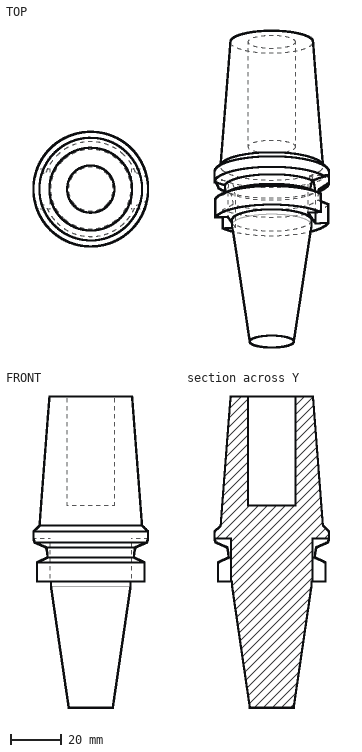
import cadquery as cq

total_height = 124.6
gauge_height = 48.5
flange_bottom = 50.5
lower_rim_top = 58.2
groove_bottom = 60.2
groove_top = 64.2
upper_rim_bottom = 66.2
upper_rim_top = 70.5
sleeve_base = 72.9

taper_small_radius = 8.8
taper_large_radius = 16.0
flange_radius = 46.0 / 2
groove_radius = 19.1
sleeve_base_radius = 20.5
sleeve_top_radius = 16.6

bore_radius = 9.5
bore_depth = 43.6

slot_width = 16.1
slot_top = 67.7
slot_floor = 16.3


def holder_body():
    """Taper, grooved flange and conical sleeve as one revolved body."""
    profile = [
        (0, 0),
        (taper_small_radius, 0),
        (taper_large_radius, gauge_height),
        (taper_large_radius, flange_bottom),
        (flange_radius, flange_bottom),
        (flange_radius, lower_rim_top),
        (groove_radius, groove_bottom),
        (groove_radius, groove_top),
        (flange_radius, upper_rim_bottom),
        (flange_radius, upper_rim_top),
        (sleeve_base_radius, sleeve_base),
        (sleeve_top_radius, total_height),
        (0, total_height),
    ]
    return cq.Workplane("XZ").polyline(profile).close().revolve(360, (0, 0), (0, 1))


def bore():
    return (
        cq.Workplane("XY", origin=(0, 0, total_height))
        .circle(bore_radius)
        .extrude(-bore_depth)
    )


def drive_slot(side):
    """Cutter for one slot; side is +1 or -1 along X."""
    half_width = slot_width / 2
    arc_start = slot_top - half_width
    return (
        cq.Workplane("YZ", origin=(side * slot_floor, 0, 0))
        .moveTo(-half_width, flange_bottom)
        .lineTo(half_width, flange_bottom)
        .lineTo(half_width, arc_start)
        .threePointArc((0, slot_top), (-half_width, arc_start))
        .close()
        .extrude(side * flange_radius)
    )


result = holder_body().cut(bore())
for side in (-1, 1):
    result = result.cut(drive_slot(side))